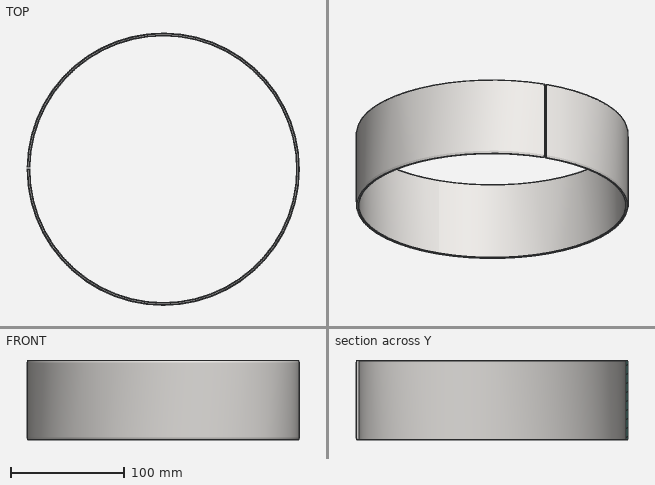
import cadquery as cq

outer_diameter = 240.0
height = 70.0
wall = 2.5
gap = 2.0
outer_chamfer_height = 2.0
outer_chamfer_depth = 0.6
inner_chamfer = 0.5

outer_radius = outer_diameter / 2
inner_radius = outer_radius - wall
half_height = height / 2


def ring():
    """Thin cylindrical band with chamfered inner and outer rims, centred on the origin."""
    profile = [
        (inner_radius, -half_height + inner_chamfer),
        (inner_radius + inner_chamfer, -half_height),
        (outer_radius - outer_chamfer_depth, -half_height),
        (outer_radius, -half_height + outer_chamfer_height),
        (outer_radius, half_height - outer_chamfer_height),
        (outer_radius - outer_chamfer_depth, half_height),
        (inner_radius + inner_chamfer, half_height),
        (inner_radius, half_height - inner_chamfer),
    ]
    return cq.Workplane("XZ").polyline(profile).close().revolve(360, (0, 0, 0), (0, 1, 0))


def gap_cutter():
    """Full-height slot through the wall at -X only."""
    return cq.Workplane("XY").box(2 * wall, gap, height).translate((wall / 2 - outer_radius, gap / 2, 0))


result = ring().cut(gap_cutter())